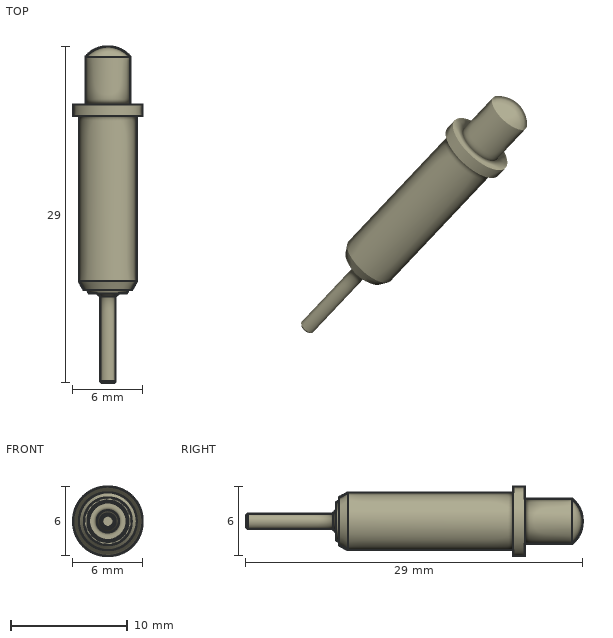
import cadquery as cq
import math


total_length = 29.0

plunger_length = 5.0
plunger_radius = 1.95
dome_radius = 2.5
dome_height = dome_radius - math.sqrt(dome_radius**2 - plunger_radius**2)

flange_radius = 6.0 / 2
flange_thickness = 1.02

barrel_radius = 2.5
barrel_length = 15.0
crimp_length = 0.78
crimp_end_radius = 2.05

plug_radius = 1.77
plug_length = 0.25
plug_end_radius = 1.62

pin_radius = 0.67
pin_root_radius = 0.95
pin_root_length = 0.25
pin_chamfer = 0.17

tip_y = flange_thickness + plunger_length
dome_base_y = tip_y - dome_height
barrel_end_y = -barrel_length
plug_end_y = barrel_end_y - plug_length
pin_end_y = tip_y - total_length

dome_mid_angle = math.asin(plunger_radius / dome_radius) / 2
dome_mid = (
    dome_radius * math.sin(dome_mid_angle),
    tip_y - dome_radius * (1 - math.cos(dome_mid_angle)),
)

half_profile = (
    cq.Workplane("XY")
    .moveTo(0, tip_y)
    .threePointArc(dome_mid, (plunger_radius, dome_base_y))
    .lineTo(plunger_radius, flange_thickness)
    .lineTo(flange_radius, flange_thickness)
    .lineTo(flange_radius, 0)
    .lineTo(barrel_radius, 0)
    .lineTo(barrel_radius, barrel_end_y + crimp_length)
    .lineTo(crimp_end_radius, barrel_end_y)
    .lineTo(plug_radius, barrel_end_y)
    .lineTo(plug_end_radius, plug_end_y)
    .lineTo(pin_root_radius, plug_end_y)
    .lineTo(pin_radius, plug_end_y - pin_root_length)
    .lineTo(pin_radius, pin_end_y + pin_chamfer)
    .lineTo(pin_radius - pin_chamfer, pin_end_y)
    .lineTo(0, pin_end_y)
    .close()
)

result = half_profile.revolve(360, (0, 0), (0, 1))